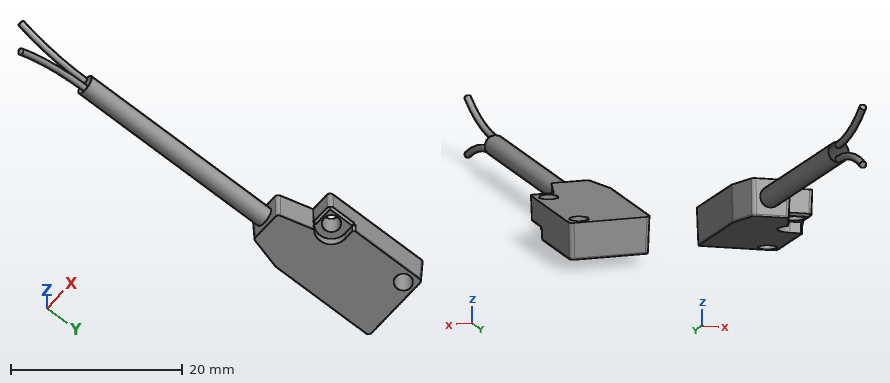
import cadquery as cq
import math

housing_width = 10.0
housing_length = 19.0
housing_height = 4.5
draft_angle = 1.8
corner_radius = 0.5
bottom_chamfer_height = 0.25
bottom_chamfer_width = 0.05

shoulder_y = -14.5
neck_angle = 15.0

ear_front_y = shoulder_y
ear_root_x = 7.0
hole_diameter = 2.25
hole_x = 8.25
hole_spacing = 11.0
back_hole_y = -1.75
front_hole_y = back_hole_y - hole_spacing

recess_radius = 2.05
recess_depth = 1.3
recess_chamfer = 0.3

cable_diameter = 2.5
cable_x = 3.4
cable_z = 2.35
cable_root_depth = 1.0
cable_root_y = cable_root_depth - housing_length
cable_end_y = -46.35
wire_diameter = 0.8
wire_offset = 0.85
wire_bend_radius = 20.0
wire_bend_angle = 29.44


def make_housing():
    """Drafted housing with rounded corners and a chamfered bottom edge."""
    neck_slope = math.tan(math.radians(neck_angle))
    neck_left_x = (shoulder_y + housing_length) * neck_slope
    neck_right_x = ear_root_x - (ear_front_y + housing_length) * neck_slope
    ear_root = (ear_root_x, ear_front_y)
    outline = [
        (0, 0),
        (housing_width, 0),
        (housing_width, ear_front_y),
        ear_root,
        (neck_right_x, -housing_length),
        (neck_left_x, -housing_length),
        (0, shoulder_y),
    ]
    rounded_corners = [corner for corner in outline if corner != ear_root]

    body = (
        cq.Workplane("XY", origin=(0, 0, housing_height))
        .polyline(outline)
        .close()
        .extrude(-housing_height, taper=draft_angle)
    )
    for x, y in rounded_corners:
        corner_edge = cq.selectors.NearestToPointSelector((x, y, housing_height / 2))
        body = body.edges("not(#Z)").edges(corner_edge).fillet(corner_radius)
    return body.faces("<Z").chamfer(bottom_chamfer_height, bottom_chamfer_width)


def chamfer_profile(edge_u, edge_v, outward):
    """Triangle that bevels an edge at 45 degrees; outward is the sign of u leaving the part."""
    inner_u = edge_u - outward * recess_chamfer
    outer_u = edge_u + outward * recess_chamfer
    return [(inner_u, edge_v), (outer_u, edge_v), (outer_u, edge_v + 2 * recess_chamfer)]


def cut_ear_recess(body):
    """Open the underside of the ear around the front hole."""
    round_end = (
        cq.Workplane("XY")
        .center(hole_x, front_hole_y)
        .circle(recess_radius)
        .extrude(recess_depth)
    )
    open_end = (
        cq.Workplane("XY")
        .center(hole_x, front_hole_y)
        .rect(2 * recess_radius, 2 * recess_radius)
        .extrude(recess_depth)
        .translate((recess_radius, 0, 0))
    )
    body = body.cut(round_end.union(open_end))

    inset = (housing_height - recess_depth) * math.tan(math.radians(draft_angle))
    front_y = ear_front_y + inset
    right_x = housing_width - inset
    back_wall_y = front_hole_y + recess_radius
    front_chamfer = (
        cq.Workplane("YZ", origin=(ear_root_x, 0, 0))
        .polyline(chamfer_profile(front_y, recess_depth, -1))
        .close()
        .extrude(housing_width - ear_root_x)
    )
    right_chamfer = (
        cq.Workplane("XZ", origin=(0, back_wall_y, 0))
        .polyline(chamfer_profile(right_x, recess_depth, 1))
        .close()
        .extrude(back_wall_y - ear_front_y)
    )
    wall_chamfer = (
        cq.Workplane("XY")
        .polyline(chamfer_profile(right_x, back_wall_y, 1))
        .close()
        .extrude(recess_depth)
    )
    return body.cut(front_chamfer).cut(right_chamfer).cut(wall_chamfer)


def drill_holes(body):
    """Drill both screw holes through the full height."""
    drills = (
        cq.Workplane("XY")
        .pushPoints([(hole_x, back_hole_y), (hole_x, front_hole_y)])
        .circle(hole_diameter / 2)
        .extrude(housing_height)
    )
    return body.cut(drills)


def make_cable():
    """Straight round cable, rooted inside the neck and running forward out of it."""
    return (
        cq.Workplane("XZ", origin=(cable_x, cable_root_y, cable_z))
        .circle(cable_diameter / 2)
        .extrude(cable_root_y - cable_end_y)
    )


def make_wire(side):
    """Wire leaving the cable end on an arc; side is +1 for up and -1 for down."""
    start_z = cable_z + side * wire_offset
    return (
        cq.Workplane("XZ", origin=(cable_x, cable_end_y, start_z))
        .circle(wire_diameter / 2)
        .revolve(wire_bend_angle, (0, side * wire_bend_radius), (-side, side * wire_bend_radius))
    )


housing = make_housing()
housing = drill_holes(cut_ear_recess(housing))
result = housing.union(make_cable())
for wire_side in (1, -1):
    result = result.union(make_wire(wire_side))